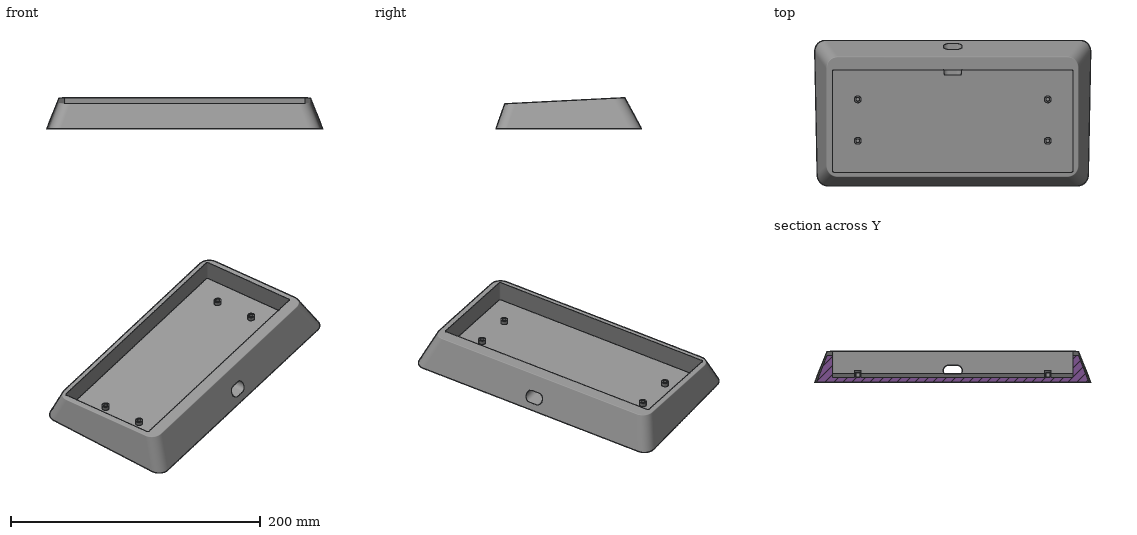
import cadquery as cq
import math

base_front = -58.5
base_back = 58.5
top_front = -51.3
top_back = 45.0
back_height = 25.0
top_tilt = 2.9
tilt = math.radians(top_tilt)
front_height = back_height - (top_back - top_front) * math.tan(tilt)
top_width = 201.8
side_taper = 21.2
base_sharp_width = 230.0
trim_depth = 44.2
corner_radius = 10.0
rim_fillet = 0.7

pocket_width = 192.5
pocket_back = 34.7
pocket_length = 82.0
pocket_corner_radius = 1.0
floor_back_height = 7.0

floor_plane = cq.Plane(
    origin=(0, pocket_back, floor_back_height),
    xDir=(1, 0, 0),
    normal=(0, -math.sin(tilt), math.cos(tilt)),
)

standoff_diameter = 5.5
standoff_hole_diameter = 3.0
standoff_height = 3.3
standoff_spacing_x = 152.2
standoff_spacing_y = 33.2
standoff_setback = 40.3

slot_width = 15.0
slot_height = 8.6
slot_center_height = 9.3
slot_groove_length = 4.2


def make_shell():
    """Front-to-back profile trimmed by sloping sides that follow the tilted top."""
    profile = [(base_front, 0), (base_back, 0), (top_back, back_height), (top_front, front_height)]
    block = cq.Workplane("YZ").polyline(profile).close().extrude(base_sharp_width / 2, both=True)

    section_plane = cq.Plane(
        origin=(0, top_back, back_height), xDir=(1, 0, 0), normal=-floor_plane.yDir
    )
    half_top = top_width / 2
    half_bottom = half_top + trim_depth * math.tan(math.radians(side_taper))
    section = [
        (-half_bottom, -trim_depth),
        (half_bottom, -trim_depth),
        (half_top, 0),
        (-half_top, 0),
    ]
    sides = (
        cq.Workplane(section_plane)
        .polyline(section)
        .close()
        .extrude(base_sharp_width, both=True)
    )
    shell = block.intersect(sides)

    corner_edges = shell.faces("<Y or >Y").edges("not |X")
    shell = corner_edges.fillet(corner_radius)
    top_face = shell.faces(cq.selectors.DirectionMinMaxSelector(floor_plane.zDir))
    return top_face.edges().fillet(rim_fillet)


def layer_above_floor(thickness):
    """Oversized slab lying on the floor plane."""
    return (
        cq.Workplane(floor_plane)
        .rect(2 * base_sharp_width, 2 * base_sharp_width)
        .extrude(thickness)
    )


def make_pocket():
    """Pocket with upright walls, open through the top and trimmed to the tilted floor."""
    upright = (
        cq.Workplane("XY", origin=(0, pocket_back - pocket_length / 2, 0))
        .rect(pocket_width, pocket_length)
        .extrude(2 * back_height)
        .edges("|Z")
        .fillet(pocket_corner_radius)
    )
    return upright.intersect(layer_above_floor(3 * back_height))


def make_cable_slot():
    """Level round-ended slot that also grooves the floor just inside the back wall."""
    return (
        cq.Workplane("XZ", origin=(0, pocket_back - slot_groove_length, slot_center_height))
        .slot2D(slot_width, slot_height)
        .extrude(-base_back)
    )


def make_standoffs():
    """Four upright hollow posts, cut parallel to the floor at both ends."""
    tubes = (
        cq.Workplane("XY", origin=(0, pocket_back - standoff_setback, 0))
        .rarray(standoff_spacing_x, standoff_spacing_y, 2, 2)
        .circle(standoff_diameter / 2)
        .circle(standoff_hole_diameter / 2)
        .extrude(back_height)
    )
    return tubes.intersect(layer_above_floor(standoff_height))


result = make_shell().cut(make_pocket()).cut(make_cable_slot()).union(make_standoffs())